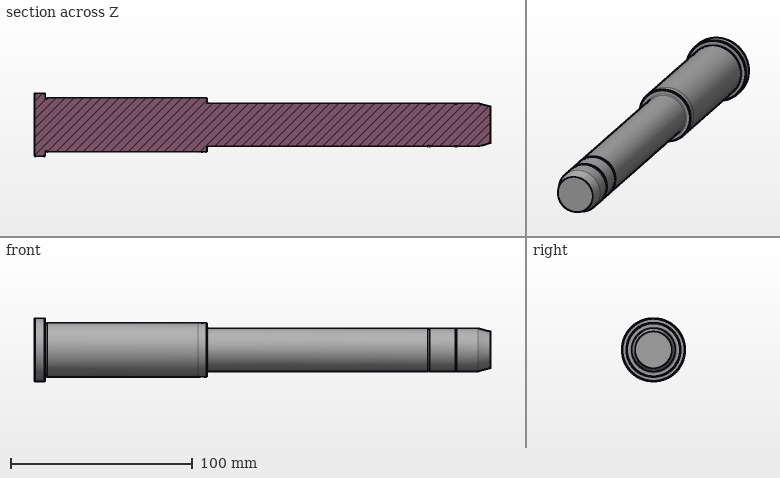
import cadquery as cq
import math

total_length = 251.0

head_diameter = 35.0
head_length = 6.0
head_chamfer = 0.5

body_diameter = 30.0
body_end = 95.0
lead_length = 5.0
lead_drop = 0.01
shoulder_chamfer = 0.5

shank_diameter = 24.0
neck_fillet = 0.5

nose_length = 7.0
nose_angle = 15.0

groove_radius = 0.5
relief_centre = head_length + groove_radius
first_oil_groove = 217.0
oil_groove_pitch = 15.0
oil_groove_count = 2


def revolve_about_x(profile):
    return profile.close().revolve(360, (0, 0, 0), (1, 0, 0))


def make_head():
    disc = cq.Workplane("YZ").circle(head_diameter / 2).extrude(head_length)
    return disc.edges("%CIRCLE").chamfer(head_chamfer)


def make_body():
    radius = body_diameter / 2
    end_radius = radius - lead_drop
    profile = (
        cq.Workplane("XY")
        .lineTo(0, radius)
        .lineTo(body_end - lead_length, radius)
        .lineTo(body_end - shoulder_chamfer, end_radius)
        .lineTo(body_end, end_radius - shoulder_chamfer)
        .lineTo(body_end, 0)
    )
    return revolve_about_x(profile)


def make_shank():
    """Shank with a filleted root at the shoulder and a conical nose."""
    radius = shank_diameter / 2
    nose_radius = radius - nose_length * math.tan(math.radians(nose_angle))
    profile = (
        cq.Workplane("XY")
        .lineTo(0, radius + neck_fillet)
        .lineTo(body_end, radius + neck_fillet)
        .radiusArc((body_end + neck_fillet, radius), -neck_fillet)
        .lineTo(total_length - nose_length, radius)
        .lineTo(total_length, nose_radius)
        .lineTo(total_length, 0)
    )
    return revolve_about_x(profile)


def make_groove_cutter(centre, surface_radius):
    """Ring of half-round section sunk into a cylinder of the given radius."""
    profile = (
        cq.Workplane("XY")
        .moveTo(centre - groove_radius, surface_radius)
        .threePointArc(
            (centre, surface_radius - groove_radius),
            (centre + groove_radius, surface_radius),
        )
    )
    return revolve_about_x(profile)


result = make_head().union(make_body()).union(make_shank())

result = result.cut(make_groove_cutter(relief_centre, body_diameter / 2))

for index in range(oil_groove_count):
    groove_centre = first_oil_groove + index * oil_groove_pitch
    result = result.cut(make_groove_cutter(groove_centre, shank_diameter / 2))